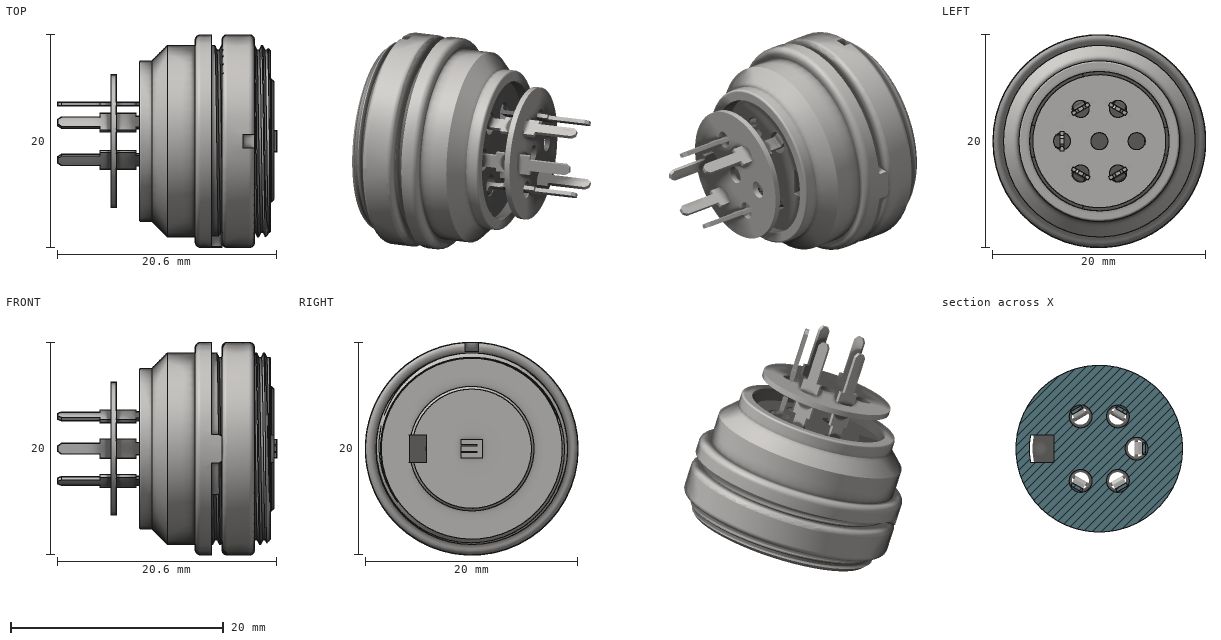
import cadquery as cq
import math


rear_dia = 15.1
body_dia = 18.0
rear_rim_length = 1.2
rear_rim_fillet = 0.2
cone_length = (body_dia - rear_dia) / 2
shell_length = 12.32
front_chamfer = 0.5

flange_dia = 20.0
flange_rear_x = 5.25
flange_front_x = 6.8
flange_fillet = 0.55
tab_width = 2.66
tab_corner_radius = 0.25
tab_root_radius = 0.1

nut_dia = 20.0
nut_rear_x = 7.78
nut_front_x = 10.82
nut_fillet = 0.5
nut_slot_width = 1.24
nut_slot_length = 1.06
nut_slot_floor_radius = 18.3 / 2

thread_pitch = 0.75
thread_depth = 0.42
groove_root_width = 0.25
groove_mouth_width = 0.65
thread_start_x = 7.1
thread_start_angle = 208.6
thread_runout = thread_pitch
thread_overcut = 0.1

bore_dia = 13.1
insert_recess = 1.0
insert_front_dia = 11.7
insert_front_x = 12.66
insert_chamfer = 0.25
keyway_width = 2.56
keyway_floor_y = -4.27
keyway_pocket_depth = 2.0
bore_overshoot = 0.5
edge_notch_inner_radius = 6.0
edge_notch_depth = 0.5
edge_notch_start = 13.5
edge_notch_end = 76.0

mark_height = 0.27
mark_length = 2.0
mark_width = 1.75
mark_bar_width = 0.5
mark_spine_width = 0.5

contact_circle_radius = 3.5
contact_angles = (0, 60, 120, 240, 300)
contact_hole_dia = 2.1
contact_hole_end_x = 2.0
blade_thickness = 0.36
pin_tip_x = -7.66
pin_shoulder_x = -3.69
pin_neck_x = -0.3
pin_width = 1.03
blade_width = 1.84
neck_width = 1.18
tip_chamfer_length = 0.36
tip_chamfer_depth = 0.26
jog_rear_x = 0.95
jog_offset = 0.7
jog_outer_bend_radius = 0.4
jog_inner_bend_radius = 0.25
contact_embed = 0.3

disc_dia = 12.5
disc_rear_x = -2.66
disc_thickness = 0.52
disc_hole_dia = 1.6


def cylinder(diameter, start_x, end_x, y=0, z=0):
    """Cylinder along X between two X positions."""
    return cq.Workplane("YZ", origin=(start_x, y, z)).circle(diameter / 2).extrude(end_x - start_x)


def block(start_x, end_x, start_y, end_y, start_z, end_z):
    """Box given by its limits on each axis."""
    size = (end_x - start_x, end_y - start_y, end_z - start_z)
    return cq.Workplane("XY").box(*size, centered=False).translate((start_x, start_y, start_z))


def around_axis(shape, angle):
    """Turn a shape about the connector axis."""
    return shape.rotate((0, 0, 0), (1, 0, 0), angle)


def make_shell():
    cone_end_x = rear_rim_length + cone_length
    shell = (
        cq.Workplane("XY")
        .moveTo(0, 0)
        .lineTo(0, rear_dia / 2)
        .lineTo(rear_rim_length, rear_dia / 2)
        .lineTo(cone_end_x, body_dia / 2)
        .lineTo(shell_length, body_dia / 2)
        .lineTo(shell_length, 0)
        .close()
        .revolve(360, (0, 0, 0), (1, 0, 0))
    )
    shell = shell.faces("<X").edges().fillet(rear_rim_fillet)
    return shell.faces(">X").edges().chamfer(front_chamfer)


def make_thread_groove():
    """Right-hand helical groove with an abrupt start, running out past the front of the shell."""
    crest_radius = body_dia / 2
    root_radius = crest_radius - thread_depth
    flank_slope = (groove_mouth_width - groove_root_width) / 2 / thread_depth
    root_half = groove_root_width / 2
    outer_half = root_half + flank_slope * (thread_depth + thread_overcut)
    height = shell_length + thread_runout - thread_start_x
    profile = [
        (root_radius, -root_half),
        (root_radius, root_half),
        (crest_radius + thread_overcut, outer_half),
        (crest_radius + thread_overcut, -outer_half),
    ]
    helices = []
    for radius, shift in profile:
        helix = cq.Wire.makeHelix(thread_pitch, height, radius).translate(cq.Vector(0, 0, shift))
        helices.append(helix.Edges()[0])
    faces = []
    for helix, neighbour in zip(helices, helices[1:] + helices[:1]):
        faces.append(cq.Face.makeRuledSurface(helix, neighbour))
    for end_points in ([h.startPoint() for h in helices], [h.endPoint() for h in helices]):
        faces.append(cq.Face.makeFromWires(cq.Wire.makePolygon(end_points, close=True)))
    groove = cq.Workplane(cq.Solid.makeSolid(cq.Shell.makeShell(faces)))
    laid_start_angle = 270
    groove = groove.rotate((0, 0, 0), (0, 1, 0), 90).translate((thread_start_x, 0, 0))
    return around_axis(groove, thread_start_angle - laid_start_angle)


def make_flange():
    flange = cylinder(flange_dia, flange_rear_x, flange_front_x)
    return flange.faces("<X").edges().fillet(flange_fillet)


def make_tab():
    """Tab that bridges the gap from the flange to the nut on the -Y side."""
    half = tab_width / 2
    outline = (
        cq.Workplane("XZ")
        .moveTo(flange_front_x, -half - tab_root_radius)
        .radiusArc((flange_front_x + tab_root_radius, -half), tab_root_radius)
        .lineTo(nut_rear_x - tab_corner_radius, -half)
        .radiusArc((nut_rear_x, -half + tab_corner_radius), -tab_corner_radius)
        .lineTo(nut_rear_x, half - tab_corner_radius)
        .radiusArc((nut_rear_x - tab_corner_radius, half), -tab_corner_radius)
        .lineTo(flange_front_x + tab_root_radius, half)
        .radiusArc((flange_front_x, half + tab_root_radius), tab_root_radius)
        .close()
        .extrude(flange_dia / 2)
    )
    ring = cylinder(flange_dia, flange_front_x, nut_rear_x).cut(
        cylinder(body_dia - thread_depth, flange_front_x, nut_rear_x)
    )
    return outline.intersect(ring)


def make_nut():
    nut = cylinder(nut_dia, nut_rear_x, nut_front_x).edges().fillet(nut_fillet)
    half = nut_slot_width / 2
    slot = block(nut_front_x - nut_slot_length, nut_front_x, -half, half, nut_slot_floor_radius, nut_dia / 2)
    return nut.cut(slot)


def make_insert_front():
    boss = cylinder(insert_front_dia, shell_length, insert_front_x)
    return boss.faces(">X").edges().chamfer(insert_chamfer)


def make_keyway():
    """Keyway through the insert on the -Y side, opening out to the bore at the rear."""
    half = keyway_width / 2
    through = block(0, insert_front_x, -insert_front_dia / 2, keyway_floor_y, -half, half)
    pocket_end_x = insert_recess + keyway_pocket_depth
    pocket = block(0, pocket_end_x, -bore_dia / 2, keyway_floor_y, -half, half)
    return through.union(pocket.intersect(cylinder(bore_dia, 0, pocket_end_x)))


def make_edge_notch(start_angle):
    """Step along the edge of the insert's rear face, over one sector, reaching past the bore."""
    outer_radius = bore_dia / 2 + bore_overshoot
    notch = (
        cq.Workplane("XY")
        .moveTo(insert_recess, edge_notch_inner_radius)
        .lineTo(insert_recess, outer_radius)
        .lineTo(insert_recess + edge_notch_depth, outer_radius)
        .lineTo(insert_recess + edge_notch_depth, edge_notch_inner_radius)
        .close()
        .revolve(edge_notch_end - edge_notch_start, (0, 0, 0), (1, 0, 0))
    )
    return around_axis(notch, start_angle)


def make_rear_bore():
    """Open rear bore down to the stepped rear face of the insert."""
    end_x = insert_recess + edge_notch_depth
    insert_face = cylinder(bore_dia + bore_overshoot, insert_recess, end_x)
    for start_angle in (edge_notch_start, -edge_notch_end):
        insert_face = insert_face.cut(make_edge_notch(start_angle))
    return cylinder(bore_dia, 0, end_x).cut(insert_face)


def make_mark():
    """Three raised bars joined by a spine."""
    start_x = insert_front_x
    end_x = insert_front_x + mark_height
    half_length = mark_length / 2
    half_width = mark_width / 2
    mark = block(start_x, end_x, half_length - mark_spine_width, half_length, -half_width, half_width)
    bar_spacing = (mark_width - mark_bar_width) / 2
    for index in (-1, 0, 1):
        low_z = index * bar_spacing - mark_bar_width / 2
        bar = block(start_x, end_x, -half_length, half_length, low_z, low_z + mark_bar_width)
        mark = mark.union(bar)
    return mark


def make_contact(angle):
    """Flat pin with a wide blade, jogged outward before it enters the insert."""
    end_x = contact_hole_end_x + contact_embed
    half_thickness = blade_thickness / 2
    jog_front_x = jog_rear_x + blade_thickness
    inner = contact_circle_radius - half_thickness
    outer = contact_circle_radius + half_thickness
    strip = (
        cq.Workplane("XY")
        .moveTo(pin_tip_x, inner)
        .lineTo(jog_front_x - jog_outer_bend_radius, inner)
        .radiusArc((jog_front_x, inner + jog_outer_bend_radius), -jog_outer_bend_radius)
        .lineTo(jog_front_x, inner + jog_offset)
        .lineTo(end_x, inner + jog_offset)
        .lineTo(end_x, outer + jog_offset)
        .lineTo(jog_rear_x + jog_outer_bend_radius, outer + jog_offset)
        .radiusArc((jog_rear_x, outer + jog_offset - jog_outer_bend_radius), -jog_outer_bend_radius)
        .lineTo(jog_rear_x, outer + jog_inner_bend_radius)
        .radiusArc((jog_rear_x - jog_inner_bend_radius, outer), jog_inner_bend_radius)
        .lineTo(pin_tip_x, outer)
        .close()
        .extrude(blade_width / 2, both=True)
    )
    tip_half = pin_width / 2 - tip_chamfer_depth
    half_outline = [
        (pin_tip_x, tip_half),
        (pin_tip_x + tip_chamfer_length, pin_width / 2),
        (pin_shoulder_x, pin_width / 2),
        (pin_shoulder_x, blade_width / 2),
        (pin_neck_x, blade_width / 2),
        (pin_neck_x, neck_width / 2),
        (end_x, neck_width / 2),
    ]
    mirrored = [(x, -z) for x, z in reversed(half_outline)]
    face_outline = (
        cq.Workplane("XZ").polyline(half_outline + mirrored).close().extrude(-bore_dia / 2)
    )
    return around_axis(strip.intersect(face_outline), angle)


def on_contact_circle(angle):
    """Y and Z of a place on the contact circle."""
    turn = math.radians(angle)
    return contact_circle_radius * math.cos(turn), contact_circle_radius * math.sin(turn)


def make_disc():
    """Spacer disc with a hole for every contact, one on the keyway side and one in the middle."""
    end_x = disc_rear_x + disc_thickness
    disc = cylinder(disc_dia, disc_rear_x, end_x)
    keyway_angle = 180
    hole_places = [on_contact_circle(angle) for angle in contact_angles + (keyway_angle,)]
    hole_places.append((0, 0))
    for y, z in hole_places:
        disc = disc.cut(cylinder(disc_hole_dia, disc_rear_x, end_x, y, z))
    return disc


def make_housing():
    threaded_bar = cylinder(body_dia, 0, shell_length).cut(make_thread_groove())
    housing = threaded_bar.intersect(make_shell())
    for piece in (make_flange(), make_tab(), make_nut(), make_insert_front(), make_mark()):
        housing = housing.union(piece)
    housing = housing.cut(make_rear_bore()).cut(make_keyway())
    for angle in contact_angles:
        y, z = on_contact_circle(angle)
        housing = housing.cut(cylinder(contact_hole_dia, insert_recess, contact_hole_end_x, y, z))
    return housing


result = make_housing().union(make_disc())
for contact_angle in contact_angles:
    result = result.union(make_contact(contact_angle))